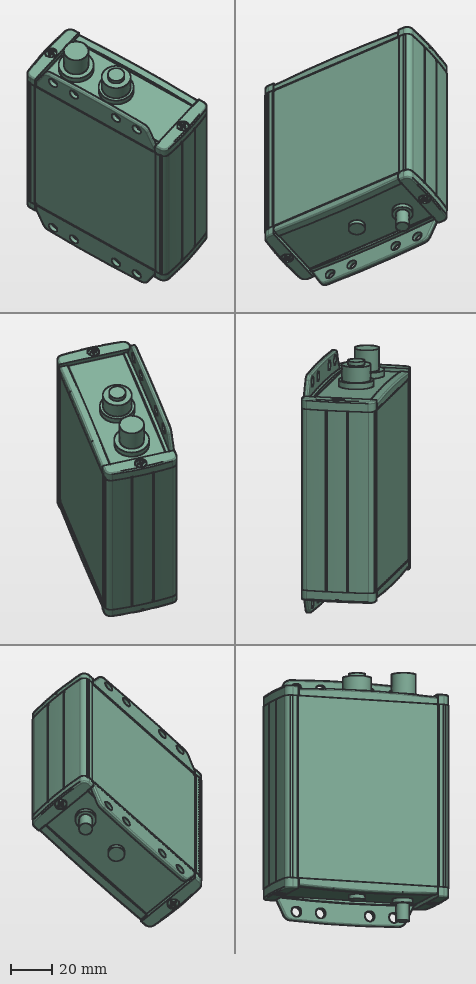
import cadquery as cq

HOUSING_WIDTH = 85.8
HOUSING_DEPTH = 36.8
HOUSING_HALF_HEIGHT = 45.0
HALF_DEPTH = HOUSING_DEPTH / 2
SIDE_BULGE = 1.1
CORNER_RADIUS = 3.4

COVER_HALF_WIDTH = 35.9
COVER_RECESS = 0.5
SEAM_WIDTH = 0.5
SEAM_DEPTH = 1.2
SIDE_GROOVE_Y = 5.4
SIDE_GROOVE_WIDTH = 0.7
SIDE_GROOVE_DEPTH = 1.5
EDGE_GROOVE_X = 39.3
EDGE_GROOVE_WIDTH = 1.2
EDGE_GROOVE_DEPTH = 0.5

CAP_INSET = 0.06
CAP_HEIGHT = 5.0
CAP_EDGE_RADIUS = 0.7
CAP_TOP = HOUSING_HALF_HEIGHT + CAP_HEIGHT

SCREW_X = 39.4
SCREW_DIAMETER = 5.7
SCREW_DOME_HEIGHT = 1.1
CROSS_LENGTH = 3.0
CROSS_WIDTH = 0.7
CROSS_DEPTH = 1.0

END_HALF_WIDTH = 35.5
END_CORNER_Z = 48.5
END_BULGE = 1.1
END_BACK_RADIUS = 0.7
PANEL_Z = 48.3
PANEL_HALF_DEPTH = 14.2
PANEL_EDGE_RADIUS = 0.5

FLANGE_THICKNESS = 2.5
FLANGE_SHOULDER_Z = 48.4
FLANGE_CORNER_X = 30.1
FLANGE_CORNER_Z = 59.2
FLANGE_TIP_Z = 60.0
FLANGE_CORNER_RADIUS = 4.3
FLANGE_EDGE_RADIUS = 0.7
FLANGE_HOLE_DIAMETER = 5.0
FLANGE_HOLE_X = (12.6, 25.0)
FLANGE_HOLE_Z = 55.0

COLLAR_DIAMETER = 17.0
COLLAR_TOP = 51.2
PLUG_X = -24.4
PLUG_DIAMETER = 12.0
PLUG_TOP = 62.0
BUTTON_X = -0.5
BUTTON_BASE_DIAMETER = 14.0
BUTTON_BASE_TOP = 58.9
BUTTON_DIAMETER = 8.0
BUTTON_TOP = 60.9
PIN_X = -24.9
PIN_Y = -2.8
PIN_DIAMETER = 6.5
PIN_END = 58.9
PIN_COLLAR_DIAMETER = 10.0
LOWER_BOSS_DIAMETER = 8.0
LOWER_BOSS_END = 50.5


def box(x_range, y_range, z_range):
    """Block between the given limits on each axis."""
    size = [high - low for low, high in (x_range, y_range, z_range)]
    low_corner = (x_range[0], y_range[0], z_range[0])
    return cq.Workplane("XY").box(*size, centered=False).translate(low_corner)


def rod(x, y, diameter, z_start, z_end):
    """Round column along Z."""
    base = cq.Workplane("XY", origin=(x, y, z_start))
    return base.circle(diameter / 2).extrude(z_end - z_start)


def both_ends(upper):
    """Solid together with its mirror image at the lower end."""
    return upper.union(upper.mirror("XY"))


def four_quadrants(piece):
    """Solid repeated by mirroring across X = 0 and Y = 0."""
    pair = piece.union(piece.mirror("YZ"))
    return pair.union(pair.mirror("XZ"))


def bowed_block(inset, half_height):
    """Rounded block whose two sides bow outwards."""
    side = HOUSING_WIDTH / 2 - inset
    edge = side - SIDE_BULGE
    depth = HALF_DEPTH - inset
    outline = (
        cq.Workplane("XY", origin=(0, 0, -half_height))
        .moveTo(-edge, -depth)
        .lineTo(edge, -depth)
        .threePointArc((side, 0), (edge, depth))
        .lineTo(-edge, depth)
        .threePointArc((-side, 0), (-edge, -depth))
        .close()
    )
    return outline.extrude(2 * half_height).edges("|Z").fillet(CORNER_RADIUS)


def housing():
    height = (-HOUSING_HALF_HEIGHT, HOUSING_HALF_HEIGHT)
    body = bowed_block(0, HOUSING_HALF_HEIGHT)
    side = HOUSING_WIDTH / 2

    cover_y = HALF_DEPTH - COVER_RECESS
    cover = box((0, COVER_HALF_WIDTH), (cover_y, HALF_DEPTH), height)
    seam_x = (COVER_HALF_WIDTH, COVER_HALF_WIDTH + SEAM_WIDTH)
    seam = box(seam_x, (HALF_DEPTH - SEAM_DEPTH, HALF_DEPTH), height)
    edge_x = (EDGE_GROOVE_X - EDGE_GROOVE_WIDTH / 2, EDGE_GROOVE_X + EDGE_GROOVE_WIDTH / 2)
    edge_groove = box(edge_x, (HALF_DEPTH - EDGE_GROOVE_DEPTH, HALF_DEPTH), height)
    side_y = (SIDE_GROOVE_Y - SIDE_GROOVE_WIDTH / 2, SIDE_GROOVE_Y + SIDE_GROOVE_WIDTH / 2)
    side_groove = box((side - SIDE_GROOVE_DEPTH, side), side_y, height)

    for cutter in (cover, seam, edge_groove, side_groove):
        body = body.cut(four_quadrants(cutter))
    return body


def screw_head():
    """Domed screw head with a cross recess, its crown at the cap top."""
    radius = SCREW_DIAMETER / 2
    rim_z = CAP_TOP - SCREW_DOME_HEIGHT
    sphere_radius = (radius**2 + SCREW_DOME_HEIGHT**2) / (2 * SCREW_DOME_HEIGHT)
    head = rod(SCREW_X, 0, SCREW_DIAMETER, rim_z, CAP_TOP)
    sphere = cq.Workplane("XY").sphere(sphere_radius)
    head = head.intersect(sphere.translate((SCREW_X, 0, CAP_TOP - sphere_radius)))
    for length, width in ((CROSS_LENGTH, CROSS_WIDTH), (CROSS_WIDTH, CROSS_LENGTH)):
        arm = cq.Workplane("XY").box(length, width, 2 * CROSS_DEPTH)
        head = head.cut(arm.translate((SCREW_X, 0, CAP_TOP)))
    return head


def caps():
    """Four side caps, each with its screw."""
    block = bowed_block(CAP_INSET, CAP_TOP).faces("<Z or >Z").edges().fillet(CAP_EDGE_RADIUS)
    side = HOUSING_WIDTH / 2
    y_range = (-HALF_DEPTH, HALF_DEPTH)
    cap = block.intersect(box((COVER_HALF_WIDTH, side), y_range, (HOUSING_HALF_HEIGHT, CAP_TOP)))
    cap = cap.cut(rod(SCREW_X, 0, SCREW_DIAMETER, CAP_TOP - SCREW_DOME_HEIGHT, CAP_TOP))
    cap = cap.union(screw_head())
    return both_ends(cap.union(cap.mirror("YZ")))


def end_cover():
    """Upper end cover: bowed rails around a round-edged panel."""
    cover = (
        cq.Workplane("XZ", origin=(0, HALF_DEPTH, 0))
        .moveTo(-END_HALF_WIDTH, HOUSING_HALF_HEIGHT)
        .lineTo(END_HALF_WIDTH, HOUSING_HALF_HEIGHT)
        .lineTo(END_HALF_WIDTH, END_CORNER_Z)
        .threePointArc((0, END_CORNER_Z + END_BULGE), (-END_HALF_WIDTH, END_CORNER_Z))
        .close()
        .extrude(HOUSING_DEPTH - FLANGE_THICKNESS)
    )
    cover = cover.faces(">Y").edges(">Z").fillet(END_BACK_RADIUS)
    width = (-END_HALF_WIDTH, END_HALF_WIDTH)
    panel_y = (-PANEL_HALF_DEPTH, PANEL_HALF_DEPTH)
    cover = cover.cut(box(width, panel_y, (HOUSING_HALF_HEIGHT, CAP_TOP)))
    panel = box(width, panel_y, (HOUSING_HALF_HEIGHT, PANEL_Z))
    return cover.union(panel.faces(">Z").edges().fillet(PANEL_EDGE_RADIUS))


def flange():
    """Upper mounting flange with a bowed edge, rounded on both faces, and four holes."""
    plate = (
        cq.Workplane("XZ", origin=(0, FLANGE_THICKNESS - HALF_DEPTH, 0))
        .moveTo(-END_HALF_WIDTH, HOUSING_HALF_HEIGHT)
        .lineTo(END_HALF_WIDTH, HOUSING_HALF_HEIGHT)
        .lineTo(END_HALF_WIDTH, FLANGE_SHOULDER_Z)
        .lineTo(FLANGE_CORNER_X, FLANGE_CORNER_Z)
        .threePointArc((0, FLANGE_TIP_Z), (-FLANGE_CORNER_X, FLANGE_CORNER_Z))
        .lineTo(-END_HALF_WIDTH, FLANGE_SHOULDER_Z)
        .close()
        .extrude(FLANGE_THICKNESS)
    )
    corner_zone = cq.selectors.BoxSelector(
        (-END_HALF_WIDTH, -HALF_DEPTH, FLANGE_HOLE_Z), (END_HALF_WIDTH, 0, FLANGE_TIP_Z)
    )
    plate = plate.edges("|Y").edges(corner_zone).fillet(FLANGE_CORNER_RADIUS)
    plate = plate.faces("<Y or >Y").edges("not <Z").fillet(FLANGE_EDGE_RADIUS)
    hole_points = [(sign * x, FLANGE_HOLE_Z) for x in FLANGE_HOLE_X for sign in (-1, 1)]
    holes = cq.Workplane("XZ").pushPoints(hole_points).circle(FLANGE_HOLE_DIAMETER / 2)
    return plate.cut(holes.extrude(HALF_DEPTH))


def connectors():
    upper = rod(PLUG_X, 0, COLLAR_DIAMETER, HOUSING_HALF_HEIGHT, COLLAR_TOP)
    upper = upper.union(rod(PLUG_X, 0, PLUG_DIAMETER, HOUSING_HALF_HEIGHT, PLUG_TOP))
    upper = upper.union(rod(BUTTON_X, 0, COLLAR_DIAMETER, HOUSING_HALF_HEIGHT, COLLAR_TOP))
    upper = upper.union(rod(BUTTON_X, 0, BUTTON_BASE_DIAMETER, COLLAR_TOP, BUTTON_BASE_TOP))
    upper = upper.union(rod(BUTTON_X, 0, BUTTON_DIAMETER, BUTTON_BASE_TOP, BUTTON_TOP))

    lower = rod(PIN_X, PIN_Y, PIN_DIAMETER, -PIN_END, -HOUSING_HALF_HEIGHT)
    lower = lower.union(rod(PIN_X, PIN_Y, PIN_COLLAR_DIAMETER, -LOWER_BOSS_END, -HOUSING_HALF_HEIGHT))
    lower = lower.union(rod(BUTTON_X, 0, LOWER_BOSS_DIAMETER, -LOWER_BOSS_END, -HOUSING_HALF_HEIGHT))
    return upper.union(lower)


end = end_cover().union(flange())
result = housing().union(caps()).union(both_ends(end)).union(connectors())